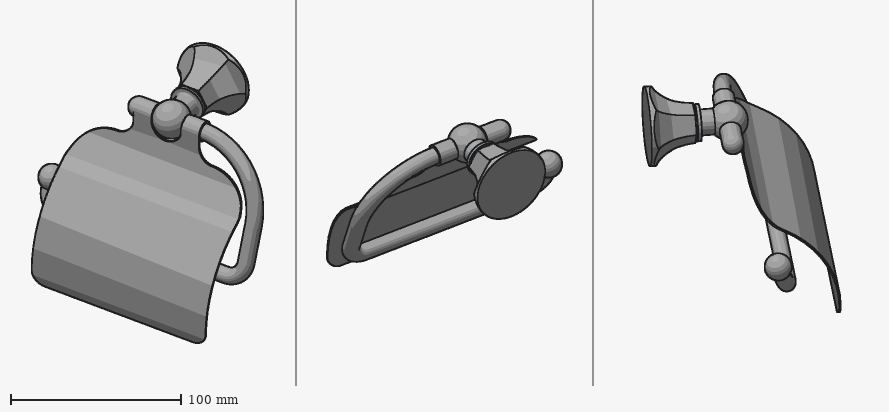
import cadquery as cq
import math


rose_radius = 23.6
rose_depth = 27.9
rose_wall_apothem = 26.0
flare_start = (5.7, 18.2)
flare_middle = (10.9, 14.5)
flare_end = (16.9, 12.0)
shank_middle = (22.1, 10.9)
shank_end_apothem = 10.3

groove_radius = 9.5
collar_radius = 11.0
collar_start = 29.0
collar_end = 31.2
neck_radius = 7.8
neck_fillet = 1.2

joint_radius = 11.6
joint_distance = 48.0
joint_half_width = 10.3
sleeve_radius = 6.4
sleeve_half_length = 22.7

rod_radius = 5.1
rod_tilt = 20
rod_side_x = 66.1
rod_bend_radius = 44.8
rod_corner_radius = 11.5
rod_drop = 80.2
tip_x = -70.0
tip_drop = 61.0
tip_ball_radius = 8.0

overall_depth = 107.3
cover_thickness = 1.0
cover_half_width = 60.2
cover_bottom = -106.3
upper_straight = 4.5
upper_radius = 38.8
lower_radius = 69.1
cover_corner_radius = 9.3
notch_radius = joint_half_width
notch_drop = 1.2
tab_length = 6.4
tab_fillet = 10.2
shoulder_radius = cover_half_width - sleeve_half_length - tab_fillet

joint_center = (0, -joint_distance, 0)


def make_rose():
    """Hexagonal flare: three double-sided slabs 60 degrees apart, trimmed by the round rim."""
    def placed(point):
        distance, apothem = point
        return (-distance, apothem)

    def mirrored(point):
        distance, apothem = point
        return (-distance, -apothem)

    shank_end = (rose_depth, shank_end_apothem)
    slab = (
        cq.Workplane("YZ")
        .moveTo(0, rose_wall_apothem)
        .lineTo(*placed(flare_start))
        .threePointArc(placed(flare_middle), placed(flare_end))
        .lineTo(*placed(shank_middle))
        .lineTo(*placed(shank_end))
        .lineTo(*mirrored(shank_end))
        .lineTo(*mirrored(shank_middle))
        .lineTo(*mirrored(flare_end))
        .threePointArc(mirrored(flare_middle), mirrored(flare_start))
        .lineTo(0, -rose_wall_apothem)
        .close()
        .extrude(2 * rose_wall_apothem, both=True)
    )
    rose = cq.Workplane("XZ").circle(rose_radius).extrude(rose_depth)
    for angle in (0, 60, 120):
        rose = rose.intersect(slab.rotate((0, 0, 0), (0, 1, 0), angle))
    return rose


def make_post():
    """Groove, collar and neck turned about the Y axis, from inside the rose to the joint."""
    neck_start = collar_end + neck_fillet
    fillet_middle = neck_fillet * (1 - math.sqrt(0.5))
    return (
        cq.Workplane("XY")
        .moveTo(0, -flare_end[0])
        .lineTo(groove_radius, -flare_end[0])
        .lineTo(groove_radius, -collar_start)
        .lineTo(collar_radius, -collar_start)
        .lineTo(collar_radius, -collar_end)
        .lineTo(neck_radius + neck_fillet, -collar_end)
        .threePointArc(
            (neck_radius + fillet_middle, -collar_end - fillet_middle),
            (neck_radius, -neck_start),
        )
        .lineTo(neck_radius, -joint_distance)
        .lineTo(0, -joint_distance)
        .close()
        .revolve(360, (0, 0, 0), (0, 1, 0))
    )


def make_joint():
    """Flat-sided ball, a sleeve on each flat and a dome on the left end, turned about the X axis."""
    flat_radius = math.sqrt(joint_radius**2 - joint_half_width**2)
    dome_middle = sleeve_radius * math.sqrt(0.5)
    return (
        cq.Workplane("XZ")
        .moveTo(-sleeve_half_length - sleeve_radius, 0)
        .threePointArc(
            (-sleeve_half_length - dome_middle, dome_middle),
            (-sleeve_half_length, sleeve_radius),
        )
        .lineTo(-joint_half_width, sleeve_radius)
        .lineTo(-joint_half_width, flat_radius)
        .threePointArc((0, joint_radius), (joint_half_width, flat_radius))
        .lineTo(joint_half_width, sleeve_radius)
        .lineTo(sleeve_half_length, sleeve_radius)
        .lineTo(sleeve_half_length, 0)
        .close()
        .revolve(360, (0, 0, 0), (1, 0, 0))
        .translate(joint_center)
    )


def make_rod():
    """Round rod bent in the XZ plane, with a ball on its tip, then tilted about the sleeve."""
    bend_start_x = rod_side_x - rod_bend_radius
    corner_middle = rod_corner_radius * math.sqrt(0.5)
    bend_middle = rod_bend_radius * math.sqrt(0.5)
    corner_z = rod_corner_radius - rod_drop
    right_corner_x = rod_side_x - rod_corner_radius
    left_corner_x = tip_x + rod_corner_radius
    path = (
        cq.Workplane("XZ")
        .moveTo(bend_start_x, 0)
        .threePointArc(
            (bend_start_x + bend_middle, bend_middle - rod_bend_radius),
            (rod_side_x, -rod_bend_radius),
        )
        .lineTo(rod_side_x, corner_z)
        .threePointArc(
            (right_corner_x + corner_middle, corner_z - corner_middle),
            (right_corner_x, -rod_drop),
        )
        .lineTo(left_corner_x, -rod_drop)
        .threePointArc(
            (left_corner_x - corner_middle, corner_z - corner_middle),
            (tip_x, corner_z),
        )
        .lineTo(tip_x, -tip_drop)
    )
    rod = (
        cq.Workplane("YZ")
        .workplane(offset=bend_start_x)
        .circle(rod_radius)
        .sweep(path)
    )
    tip_ball = cq.Workplane("XY").sphere(tip_ball_radius).translate((tip_x, 0, -tip_drop))
    rod = rod.union(tip_ball)
    return rod.rotate((0, 0, 0), (1, 0, 0), -rod_tilt).translate(joint_center)


def make_cover_sheet():
    """S-curved sheet across the whole cover width: straight, a hollow arc, then a bulging one."""
    upper_y = -joint_distance - sleeve_radius - upper_radius
    lower_y = lower_radius - overall_depth
    bend = math.acos((lower_y - upper_y) / (lower_radius + upper_radius))
    lower_z = -upper_straight - (lower_radius + upper_radius) * math.sin(bend)
    end = math.asin((cover_bottom - lower_z) / lower_radius)

    def upper_point(radius, angle):
        return (upper_y + radius * math.cos(angle), -upper_straight - radius * math.sin(angle))

    def lower_point(radius, angle):
        return (lower_y - radius * math.cos(angle), lower_z + radius * math.sin(angle))

    upper_back = upper_radius + cover_thickness
    lower_back = lower_radius - cover_thickness
    middle = (bend + end) / 2
    return (
        cq.Workplane("YZ")
        .moveTo(upper_y + upper_radius, 0)
        .lineTo(*upper_point(upper_radius, 0))
        .threePointArc(upper_point(upper_radius, bend / 2), upper_point(upper_radius, bend))
        .threePointArc(lower_point(lower_radius, middle), lower_point(lower_radius, end))
        .lineTo(*lower_point(lower_back, end))
        .threePointArc(lower_point(lower_back, middle), lower_point(lower_back, bend))
        .threePointArc(upper_point(upper_back, bend / 2), upper_point(upper_back, 0))
        .lineTo(upper_y + upper_back, 0)
        .close()
        .extrude(cover_half_width, both=True)
    )


def make_cover_half_blank():
    """Outline of the right half of the cover, extruded through the whole depth."""
    def height(sheet_length):
        turned = (sheet_length - upper_straight) / upper_radius
        return -upper_straight - upper_radius * math.sin(turned)

    steps = 8
    angles = [math.pi / 2 * step / steps for step in range(steps + 1)]
    shoulder_x = sleeve_half_length + tab_fillet
    shoulder_length = tab_length + tab_fillet
    tab_curve = [
        (shoulder_x - tab_fillet * math.cos(a), height(tab_length + tab_fillet * math.sin(a)))
        for a in angles
    ]
    shoulder_curve = [
        (
            shoulder_x + shoulder_radius * math.sin(a),
            height(shoulder_length + shoulder_radius * (1 - math.cos(a))),
        )
        for a in angles
    ]
    corner_x = cover_half_width - cover_corner_radius
    corner_z = cover_bottom + cover_corner_radius
    corner_middle = cover_corner_radius * math.sqrt(0.5)
    return (
        cq.Workplane("XZ")
        .lineTo(sleeve_half_length, 0)
        .lineTo(*tab_curve[0])
        .spline(tab_curve[1:], tangents=[(0, -1), (1, 0)], includeCurrent=True)
        .spline(shoulder_curve[1:], tangents=[(1, 0), (0, -1)], includeCurrent=True)
        .lineTo(cover_half_width, corner_z)
        .threePointArc(
            (corner_x + corner_middle, corner_z - corner_middle),
            (corner_x, cover_bottom),
        )
        .lineTo(0, cover_bottom)
        .close()
        .extrude(overall_depth)
    )


def make_cover():
    """Sheet trimmed to the outline, with a round-bottomed notch that clears the ball joint."""
    half_blank = make_cover_half_blank()
    blank = half_blank.union(half_blank.mirror("YZ"))
    notch = (
        cq.Workplane("XZ")
        .moveTo(-notch_radius, 0)
        .lineTo(-notch_radius, -notch_drop)
        .threePointArc((0, -notch_drop - notch_radius), (notch_radius, -notch_drop))
        .lineTo(notch_radius, 0)
        .close()
        .extrude(overall_depth)
    )
    return make_cover_sheet().intersect(blank).cut(notch)


result = (
    make_rose()
    .union(make_post())
    .union(make_joint())
    .union(make_rod())
    .union(make_cover())
)